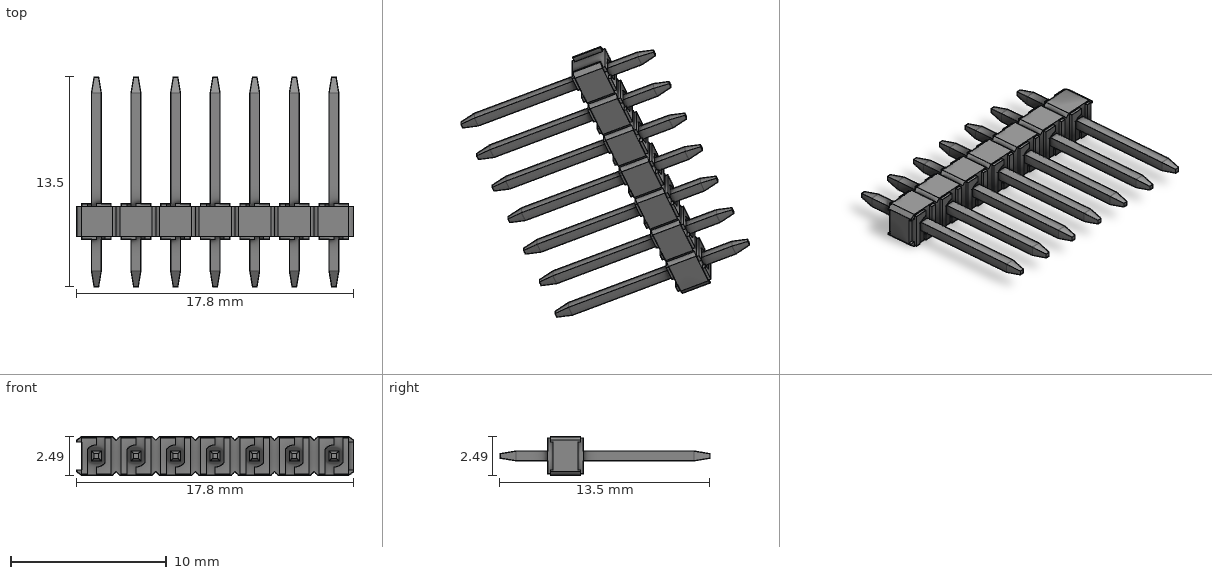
import cadquery as cq
import math


pin_count = 7
pitch = 2.54

housing_height = 2.49
housing_depth = 1.94
notch_size = 0.235
end_wall_offset = 0.95
lip_underside = 0.89
end_rib_depth = 1.6

pad_thickness = 0.18
pad_half_width = end_wall_offset
pad_half_height = 1.155
channel_offset = 0.57
channel_radius = 0.71

pin_width = 0.64
pin_tip_width = 0.30
pin_taper_length = 1.02
pin_front = -4.19
pin_length = 13.46

half_height = housing_height / 2
half_length = pin_count * pitch / 2
last_pin_x = (pin_count - 1) * pitch / 2
end_wall_x = last_pin_x + end_wall_offset
end_recess = half_length - end_wall_x
notch_floor = half_height - notch_size
pin_positions = [i * pitch - last_pin_x for i in range(pin_count)]
notch_positions = [x + pitch / 2 for x in pin_positions[:-1]]


def prism_along_y(outline, depth):
    """Extrude a closed XZ sketch symmetrically about Y = 0."""
    return outline.extrude(depth / 2, both=True)


def make_notch(x, side):
    """V notch across the top (side = 1) or bottom (side = -1) of the housing."""
    outline = (
        cq.Workplane("XZ")
        .moveTo(x - notch_size, side * half_height)
        .lineTo(x, side * notch_floor)
        .lineTo(x + notch_size, side * half_height)
        .close()
    )
    return prism_along_y(outline, housing_depth)


def make_lip(end, side):
    """Tapered lip overhanging an end wall (end = -1 or 1) at the top or bottom."""
    outline = (
        cq.Workplane("XZ")
        .moveTo(end * end_wall_x, side * half_height)
        .lineTo(end * half_length, side * notch_floor)
        .lineTo(end * half_length, side * lip_underside)
        .lineTo(end * end_wall_x, side * lip_underside)
        .close()
    )
    return prism_along_y(outline, housing_depth)


def make_housing():
    housing = cq.Workplane("XY").box(2 * end_wall_x, housing_depth, housing_height)
    for side in (-1, 1):
        for x in notch_positions:
            housing = housing.cut(make_notch(x, side))
        for end in (-1, 1):
            housing = housing.union(make_lip(end, side))
    rib = (
        cq.Workplane("XY")
        .box(end_recess, end_rib_depth, 2 * lip_underside)
        .translate((end_wall_x + end_recess / 2, 0, 0))
    )
    return housing.union(rib)


def make_front_pads():
    """Pair of standoff pads on the -Y face, leaving an S-shaped channel around the pin."""
    face_y = -housing_depth / 2
    arc_end_height = math.sqrt(channel_radius**2 - channel_offset**2)
    arc_end_angle = math.atan2(arc_end_height, channel_offset)
    arc_middle_angle = (arc_end_angle + math.pi / 2) / 2
    arc_middle = (
        -channel_radius * math.cos(arc_middle_angle),
        channel_radius * math.sin(arc_middle_angle),
    )
    pad = (
        cq.Workplane("XZ", origin=(0, face_y, 0))
        .moveTo(-pad_half_width, -pad_half_height)
        .lineTo(-pad_half_width, pad_half_height)
        .lineTo(0, pad_half_height)
        .lineTo(0, channel_radius)
        .threePointArc(arc_middle, (-channel_offset, arc_end_height))
        .lineTo(-channel_offset, -pad_half_height)
        .close()
        .extrude(pad_thickness)
    )
    opposite_pad = pad.rotate((0, 0, 0), (0, 1, 0), 180)
    return pad.union(opposite_pad)


def make_pin():
    """Square pin tapered at both ends."""
    shaft_start = pin_front + pin_taper_length
    shaft_end = pin_front + pin_length - pin_taper_length

    def taper(base_y, tip_y):
        return (
            cq.Workplane("XZ", origin=(0, base_y, 0))
            .rect(pin_width, pin_width)
            .workplane(offset=base_y - tip_y)
            .rect(pin_tip_width, pin_tip_width)
            .loft(ruled=True)
        )

    shaft = (
        cq.Workplane("XZ", origin=(0, shaft_start, 0))
        .rect(pin_width, pin_width)
        .extrude(shaft_start - shaft_end)
    )
    front_taper = taper(shaft_start, pin_front)
    rear_taper = taper(shaft_end, pin_front + pin_length)
    return shaft.union(front_taper).union(rear_taper)


front_pads = make_front_pads()
rear_pads = front_pads.rotate((0, 0, 0), (0, 0, 1), 180)
pin = make_pin()

result = make_housing()
for x in pin_positions:
    for feature in (front_pads, rear_pads, pin):
        result = result.union(feature.translate((x, 0, 0)))